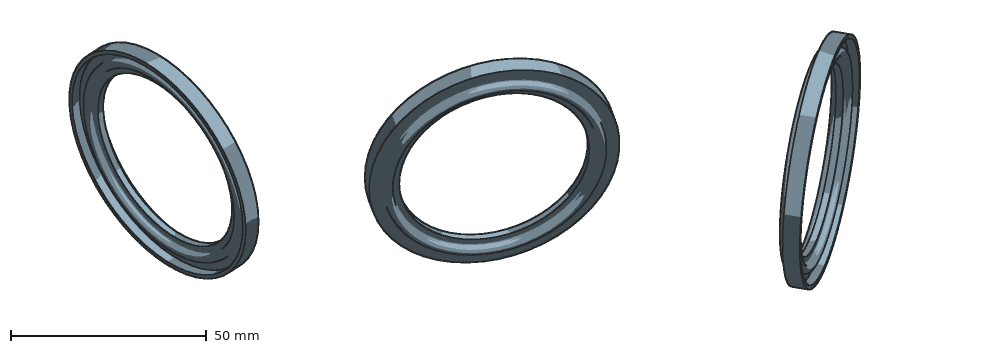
import cadquery as cq


overall_width = 6.4
bore_diameter = 50.2
rim_inner_diameter = 64.0
outer_diameter = 66.2
web_thickness = 1.9
bead_inner_diameter = 54.1
bead_outer_diameter = 58.9
bead_root_radius = 0.4
back_flank_height = 0.3
front_flank_height = 0.1

BACK = 1
FRONT = -1

bead_inner_radius = bead_inner_diameter / 2
bead_outer_radius = bead_outer_diameter / 2
bead_crest_radius = (bead_outer_radius - bead_inner_radius) / 2
bead_centre_radius = (bead_outer_radius + bead_inner_radius) / 2
root_inner_radius = bead_inner_radius - bead_root_radius
root_outer_radius = bead_outer_radius + bead_root_radius
web_face = web_thickness / 2
back_crest = web_face + bead_root_radius + back_flank_height + bead_crest_radius
rim_front = back_crest - overall_width


def revolve_about_y(profile):
    """Full turn of a closed XY profile about the Y axis."""
    return profile.revolve(360, (0, 0, 0), (0, 1, 0))


def rimmed_ring():
    """Flat web with the rim standing forward around its outer edge."""
    profile = (
        cq.Workplane("XY")
        .moveTo(bore_diameter / 2, web_face)
        .lineTo(outer_diameter / 2, web_face)
        .lineTo(outer_diameter / 2, rim_front)
        .lineTo(rim_inner_diameter / 2, rim_front)
        .lineTo(rim_inner_diameter / 2, -web_face)
        .lineTo(bore_diameter / 2, -web_face)
        .close()
    )
    return revolve_about_y(profile)


def bead(side, flank_height):
    """Round-topped bead with concave root fillets, reaching down to mid-web so it overlaps the web."""
    base = side * web_face
    flank_start = base + side * bead_root_radius
    flank_end = flank_start + side * flank_height
    crest = flank_end + side * bead_crest_radius
    profile = (
        cq.Workplane("XY")
        .moveTo(root_outer_radius, base)
        .radiusArc((bead_outer_radius, flank_start), side * bead_root_radius)
        .lineTo(bead_outer_radius, flank_end)
        .threePointArc((bead_centre_radius, crest), (bead_inner_radius, flank_end))
        .lineTo(bead_inner_radius, flank_start)
        .radiusArc((root_inner_radius, base), side * bead_root_radius)
        .lineTo(root_inner_radius, 0)
        .lineTo(root_outer_radius, 0)
        .close()
    )
    return revolve_about_y(profile)


result = (
    rimmed_ring()
    .union(bead(BACK, back_flank_height))
    .union(bead(FRONT, front_flank_height))
)